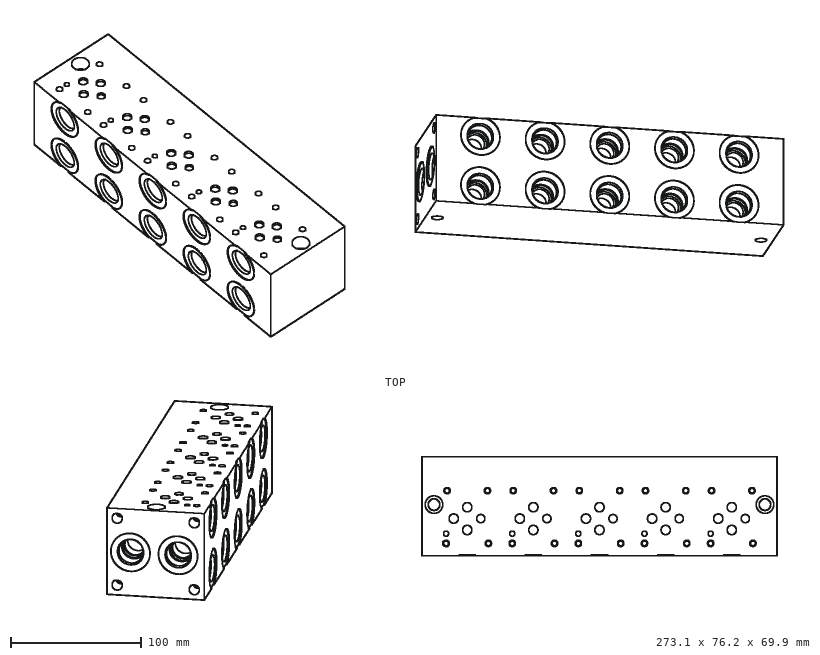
import cadquery as cq
import math

length = 273.05
width = 76.2
height = 69.85

station_count = 5
station_pitch = 50.8
first_station_x = (length - (station_count - 1) * station_pitch) / 2

spotface_diameter = 30.63
spotface_depth = 0.8
seat_mouth_diameter = 20.6
seat_throat_diameter = 19.25
seat_depth = 2.5
port_thread_diameter = 19.05
port_thread_depth = 14.3
port_tap_diameter = 17.5
port_tap_depth = 19.0
work_passage_diameter = 14.3
supply_passage_diameter = 15.88
port_passage_depth = 30.0

work_port_edge_offset = 14.65
work_port_heights = (work_port_edge_offset, height - work_port_edge_offset)
supply_port_ys = (20.65, 57.9)
supply_port_height = height / 2

pattern_y = 19.8
passage_spacing_y = 17.5
tank_x = -10.4
pressure_x = 10.4
side_passage_y = passage_spacing_y / 2
front_bolt_x, front_bolt_y = 16.25, -10.3
rear_bolt_x, rear_bolt_y = 15.5, 30.2
pin_x, pin_y = -16.25, -2.8

valve_passage_diameter = 7.14
pressure_passage_diameter = 6.35
valve_passage_depth = 2.0
valve_bolt_drill_diameter = 3.79
valve_bolt_thread_diameter = 4.83
valve_bolt_thread_depth = 11.0
valve_bolt_drill_depth = 14.0
pin_hole_diameter = 3.96
pin_hole_depth = 5.0

mounting_x_offset = 9.4
mounting_y = 39.3
mounting_hole_diameter = 8.74
mounting_counterbore_diameter = 13.49
mounting_counterbore_depth = 12.7

end_bolt_offset = 7.94
end_bolt_drill_diameter = 6.53
end_bolt_thread_diameter = 7.92
end_bolt_thread_depth = 16.0
end_bolt_drill_depth = 20.0

drill_point_angle = 118.0

INTO_TOP = cq.Vector(0, 0, -1)
INTO_FRONT = cq.Vector(0, 1, 0)
INTO_END = cq.Vector(1, 0, 0)


def cylinder(mouth, direction, diameter, depth):
    return cq.Solid.makeCylinder(diameter / 2, depth, mouth, direction)


def cone(mouth, direction, start_diameter, end_diameter, depth):
    return cq.Solid.makeCone(start_diameter / 2, end_diameter / 2, depth, mouth, direction)


def drilled_hole(mouth, direction, diameter, depth):
    """Blind hole with a conical drill point beyond its full-diameter depth."""
    point_depth = diameter / 2 / math.tan(math.radians(drill_point_angle / 2))
    bottom = mouth + direction * depth
    return [
        cylinder(mouth, direction, diameter, depth),
        cone(bottom, direction, diameter, 0, point_depth),
    ]


def threaded_hole(mouth, direction, thread_diameter, thread_depth, drill_diameter, drill_depth):
    """Blind hole at the thread's major diameter, continued by its narrower tap drill."""
    thread = cylinder(mouth, direction, thread_diameter, thread_depth)
    return [thread] + drilled_hole(mouth, direction, drill_diameter, drill_depth)


def threaded_port(mouth, direction, passage_diameter):
    """Spotfaced port with a tapered seat, stepping down from thread to passage."""
    seat = mouth + direction * spotface_depth
    return [
        cylinder(mouth, direction, spotface_diameter, spotface_depth),
        cone(seat, direction, seat_mouth_diameter, seat_throat_diameter, seat_depth),
        cylinder(mouth, direction, port_thread_diameter, port_thread_depth),
        cylinder(mouth, direction, port_tap_diameter, port_tap_depth),
    ] + drilled_hole(mouth, direction, passage_diameter, port_passage_depth)


def work_ports(station_x):
    cutters = []
    for z in work_port_heights:
        mouth = cq.Vector(station_x, 0, z)
        cutters += threaded_port(mouth, INTO_FRONT, work_passage_diameter)
    return cutters


def valve_pattern(station_x):
    def on_top(x, y):
        return cq.Vector(station_x + x, pattern_y + y, height)

    passages = [
        (0, 0, valve_passage_diameter),
        (0, passage_spacing_y, valve_passage_diameter),
        (tank_x, side_passage_y, valve_passage_diameter),
        (pressure_x, side_passage_y, pressure_passage_diameter),
    ]
    cutters = []
    for x, y, diameter in passages:
        cutters += drilled_hole(on_top(x, y), INTO_TOP, diameter, valve_passage_depth)
    for side in (-1, 1):
        for x, y in ((front_bolt_x, front_bolt_y), (rear_bolt_x, rear_bolt_y)):
            cutters += threaded_hole(
                on_top(side * x, y),
                INTO_TOP,
                valve_bolt_thread_diameter,
                valve_bolt_thread_depth,
                valve_bolt_drill_diameter,
                valve_bolt_drill_depth,
            )
    cutters += drilled_hole(on_top(pin_x, pin_y), INTO_TOP, pin_hole_diameter, pin_hole_depth)
    return cutters


def supply_ports():
    cutters = []
    for y in supply_port_ys:
        mouth = cq.Vector(0, y, supply_port_height)
        cutters += threaded_port(mouth, INTO_END, supply_passage_diameter)
    return cutters


def end_bolt_holes():
    cutters = []
    for y in (end_bolt_offset, width - end_bolt_offset):
        for z in (end_bolt_offset, height - end_bolt_offset):
            cutters += threaded_hole(
                cq.Vector(0, y, z),
                INTO_END,
                end_bolt_thread_diameter,
                end_bolt_thread_depth,
                end_bolt_drill_diameter,
                end_bolt_drill_depth,
            )
    return cutters


def mounting_holes():
    cutters = []
    for x in (mounting_x_offset, length - mounting_x_offset):
        mouth = cq.Vector(x, mounting_y, height)
        cutters.append(cylinder(mouth, INTO_TOP, mounting_hole_diameter, height))
        cutters.append(
            cylinder(mouth, INTO_TOP, mounting_counterbore_diameter, mounting_counterbore_depth)
        )
    return cutters


block = cq.Solid.makeBox(length, width, height)

cutters = supply_ports() + end_bolt_holes() + mounting_holes()
for station in range(station_count):
    station_x = first_station_x + station * station_pitch
    cutters += work_ports(station_x) + valve_pattern(station_x)

result = cq.Workplane("XY").newObject([block.cut(*cutters)])